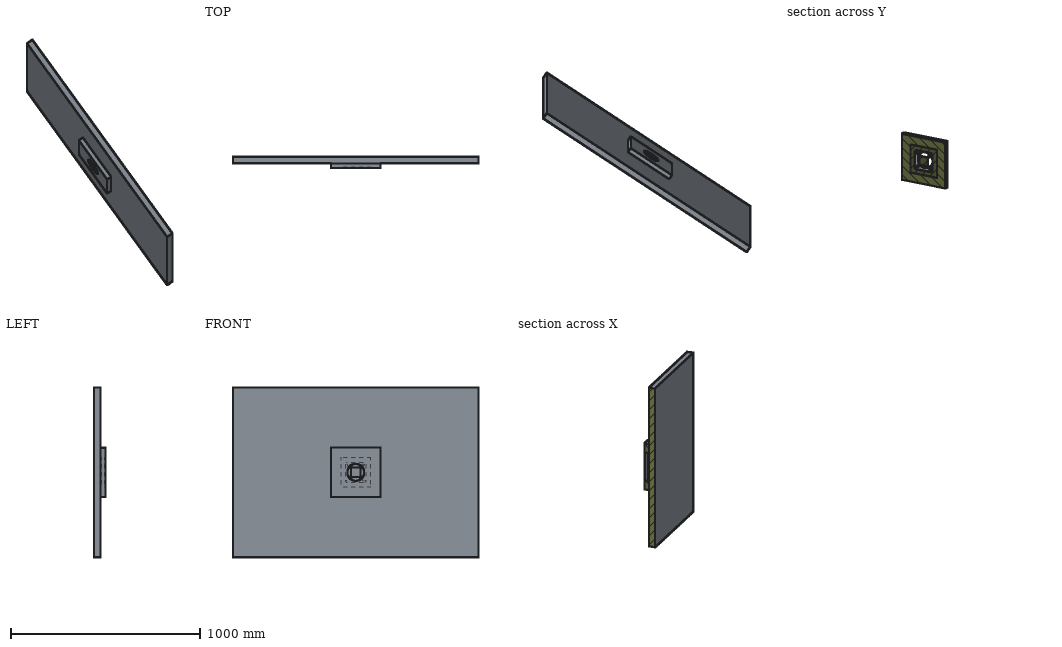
import cadquery as cq

total_depth = 61.0

panel_width = 1300.0
panel_height = 900.0
panel_thickness = 35.0

pad_side = 263.0
pad_thickness = total_depth - panel_thickness
pad_skin = 6.0
pad_hole_diameter = 90.0
cavity_side = 156.0

grate_thickness = 5.0
recess_depth = 3.0
recess_outer_side = 107.0
recess_inner_side = 51.0
spoke_width = 8.0
spoke_angles = (45, -45)

pad_front = -pad_thickness
cavity_front = pad_front + pad_skin
grate_front = -grate_thickness
recess_floor = grate_front + recess_depth


def block(width, height, front, back):
    """Box centred on the Y axis, from Y = front to Y = back."""
    return cq.Workplane("XZ", origin=(0, back, 0)).rect(width, height).extrude(back - front)


def make_panel():
    return block(panel_width, panel_height, 0, panel_thickness)


def make_pad():
    """Square cover with a wide cavity behind the round hole."""
    cavity = block(cavity_side, cavity_side, cavity_front, 0)
    hole = cq.Workplane("XZ", origin=(0, cavity_front, 0)).circle(pad_hole_diameter / 2).extrude(pad_skin)
    return block(pad_side, pad_side, pad_front, 0).cut(cavity).cut(hole)


def make_recesses():
    """Four trapezoids around a square centre, kept apart by diagonal spokes."""
    recesses = block(recess_outer_side, recess_outer_side, grate_front, recess_floor)
    recesses = recesses.cut(block(recess_inner_side, recess_inner_side, grate_front, recess_floor))
    spoke = block(2 * recess_outer_side, spoke_width, grate_front, recess_floor)
    for angle in spoke_angles:
        recesses = recesses.cut(spoke.rotate((0, 0, 0), (0, 1, 0), angle))
    return recesses


def make_grate():
    return block(cavity_side, cavity_side, grate_front, 0).cut(make_recesses())


panel = make_panel()
pad = make_pad()
grate = make_grate()

result = cq.Compound.makeCompound([body.solids().val() for body in (panel, pad, grate)])